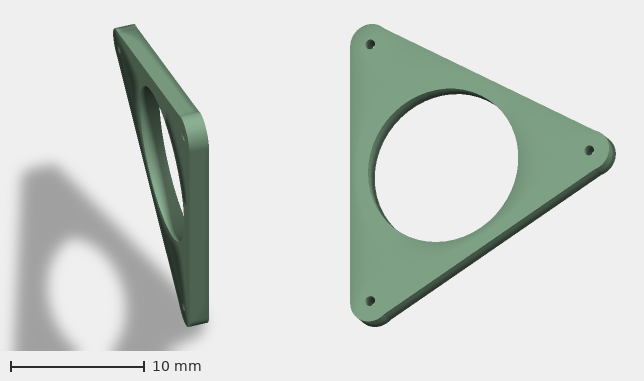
import cadquery as cq
import math

thickness = 1.524
hole_circle_radius = 11.59
corner_radius = 1.5875
slanted_edge_offset = 1.54
corner_hole_diameter = 0.762
opening_diameter = 11.938

corner_angle = math.radians(60)
corner_x = hole_circle_radius * math.cos(corner_angle)
corner_z = hole_circle_radius * math.sin(corner_angle)
corner_centres = [(-hole_circle_radius, 0), (corner_x, corner_z), (corner_x, -corner_z)]


def back_face():
    """Workplane on the back face, so that the plate is centred on Y = 0."""
    return cq.Workplane("XZ", origin=(0, thickness / 2, 0))


def extrude_plate(sketch):
    """Extrude a sketch on the back face through the plate thickness, toward -Y."""
    return sketch.extrude(thickness)


def plate_body():
    """Triangular plate with round corners that bulge slightly past the slanted edges."""
    slant_shift_x = -slanted_edge_offset * math.cos(corner_angle)
    slant_shift_z = slanted_edge_offset * math.sin(corner_angle)
    upper_outline = [
        (-hole_circle_radius, 0),
        (-hole_circle_radius + slant_shift_x, slant_shift_z),
        (corner_x + slant_shift_x, corner_z + slant_shift_z),
        (corner_x, corner_z),
        (corner_x + corner_radius, corner_z),
    ]
    lower_outline = [(x, -z) for x, z in reversed(upper_outline[1:])]
    web = extrude_plate(back_face().polyline(upper_outline + lower_outline).close())
    corners = extrude_plate(back_face().pushPoints(corner_centres).circle(corner_radius))
    return web.union(corners)


def corner_holes():
    """Small through hole at each corner centre."""
    return extrude_plate(back_face().pushPoints(corner_centres).circle(corner_hole_diameter / 2))


def central_opening():
    """Large round through opening in the middle of the triangle."""
    return extrude_plate(back_face().circle(opening_diameter / 2))


result = plate_body().cut(corner_holes()).cut(central_opening())